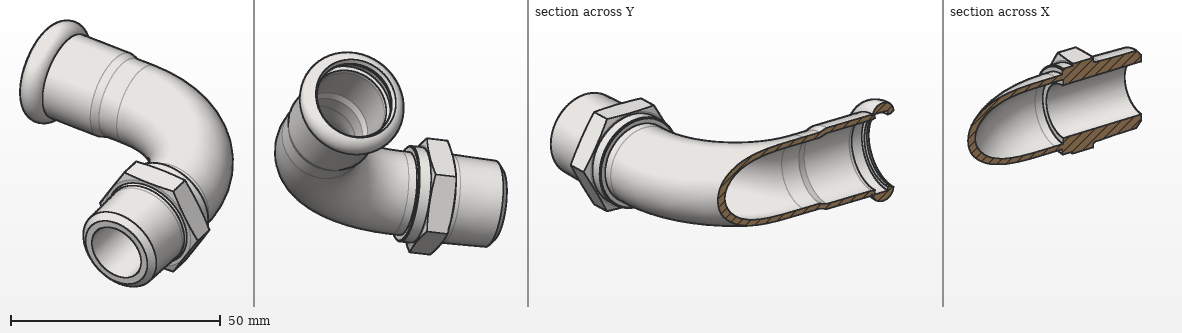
import cadquery as cq
import math

overall_length = 67.85
bend_radius = 27.0
hex_flats = 24.0
hex_corners = hex_flats / math.cos(math.radians(30))
leg_x = overall_length - hex_corners / 2
bend_start_x = leg_x - bend_radius

tube_diameter = 20.0
tube_bore = 17.0
socket_diameter = 21.3
socket_bore = 18.3
socket_end_x = 19.9
tube_start_x = 21.9
bead_diameter = 25.7
bead_width = 6.45
bead_face_diameter = 20.0
mouth_bore = 18.7
mouth_flare_depth = 1.1
seal_groove_start = 1.8
seal_groove_end = 5.55
seal_groove_diameter = 20.75
mouth_taper_end = 6.6

tube_end = 29.3
collar_start = 29.1
collar_chamfer = 0.3
collar_diameter = 23.0
hex_start = 32.15
hex_end = 38.15
hex_chamfer_angle = 12.0
corner_clearance = 0.7
neck_root_diameter = 22.1
neck_diameter = 21.3
neck_start = 38.7
neck_end = 39.7
thread_start_diameter = 21.3
thread_end_diameter = 20.75
tip_diameter = 17.5
tip_chamfer_start = 50.55
fitting_end = 52.015
fitting_bore = 14.0


def bent_rod(diameter, start_x):
    """Solid round rod along X, around the quarter bend and down to the tube end."""
    path = (
        cq.Workplane("XY")
        .moveTo(start_x, 0)
        .lineTo(bend_start_x, 0)
        .radiusArc((leg_x, -bend_radius), bend_radius)
        .lineTo(leg_x, -tube_end)
    )
    return cq.Workplane("YZ", origin=(start_x, 0, 0)).circle(diameter / 2).sweep(path)


def turned_on_x(profile):
    """Close an XY profile and revolve it about the socket axis."""
    return profile.close().revolve(360, (0, 0, 0), (1, 0, 0))


def turned_on_leg(stations):
    """Revolve (distance, diameter) stations about the axis of the threaded leg."""
    profile = cq.Workplane("XY", origin=(leg_x, 0, 0)).moveTo(0, -stations[0][0])
    for distance, diameter in stations:
        profile = profile.lineTo(diameter / 2, -distance)
    profile = profile.lineTo(0, -stations[-1][0])
    return profile.close().revolve(360, (0, 0, 0), (0, 1, 0))


def socket_body():
    """Round bead, straight socket and conical step down to the tube."""
    profile = (
        cq.Workplane("XY")
        .lineTo(0, bead_face_diameter / 2)
        .threePointArc((bead_width / 2, bead_diameter / 2), (bead_width, bead_face_diameter / 2))
        .lineTo(bead_width, socket_diameter / 2)
        .lineTo(socket_end_x, socket_diameter / 2)
        .lineTo(tube_start_x, tube_diameter / 2)
        .lineTo(tube_start_x, 0)
    )
    return turned_on_x(profile)


def socket_cavity():
    """Flared mouth, seal groove, socket bore and conical step down to the tube bore."""
    profile = (
        cq.Workplane("XY")
        .lineTo(0, bead_face_diameter / 2)
        .lineTo(mouth_flare_depth, mouth_bore / 2)
        .lineTo(seal_groove_start, mouth_bore / 2)
        .lineTo(seal_groove_start, seal_groove_diameter / 2)
        .lineTo(seal_groove_end, seal_groove_diameter / 2)
        .lineTo(seal_groove_end, mouth_bore / 2)
        .lineTo(mouth_taper_end, socket_bore / 2)
        .lineTo(socket_end_x, socket_bore / 2)
        .lineTo(tube_start_x, tube_bore / 2)
        .lineTo(tube_start_x, 0)
    )
    return turned_on_x(profile)


def hex_nut():
    """Hexagon with corners on X, its corners chamfered on both faces."""
    envelope_diameter = hex_corners + 2 * corner_clearance
    chamfer_height = (envelope_diameter - hex_flats) / 2 * math.tan(math.radians(hex_chamfer_angle))
    blank = (
        cq.Workplane("XZ", origin=(leg_x, -hex_start, 0))
        .polygon(6, hex_corners)
        .extrude(hex_end - hex_start)
    )
    chamfer_envelope = turned_on_leg([
        (hex_start, hex_flats),
        (hex_start + chamfer_height, envelope_diameter),
        (hex_end - chamfer_height, envelope_diameter),
        (hex_end, hex_flats),
    ])
    return blank.intersect(chamfer_envelope)


collar = turned_on_leg([
    (collar_start, collar_diameter - 2 * collar_chamfer),
    (collar_start + collar_chamfer, collar_diameter),
    (hex_start, collar_diameter),
])
threaded_end = turned_on_leg([
    (hex_end, neck_root_diameter),
    (neck_start, neck_diameter),
    (neck_end, thread_start_diameter),
    (tip_chamfer_start, thread_end_diameter),
    (fitting_end, tip_diameter),
])
fitting_hole = turned_on_leg([(tube_end, fitting_bore), (fitting_end, fitting_bore)])

result = (
    bent_rod(tube_diameter, tube_start_x)
    .union(socket_body())
    .union(collar)
    .union(hex_nut())
    .union(threaded_end)
    .cut(bent_rod(tube_bore, tube_start_x))
    .cut(socket_cavity())
    .cut(fitting_hole)
)